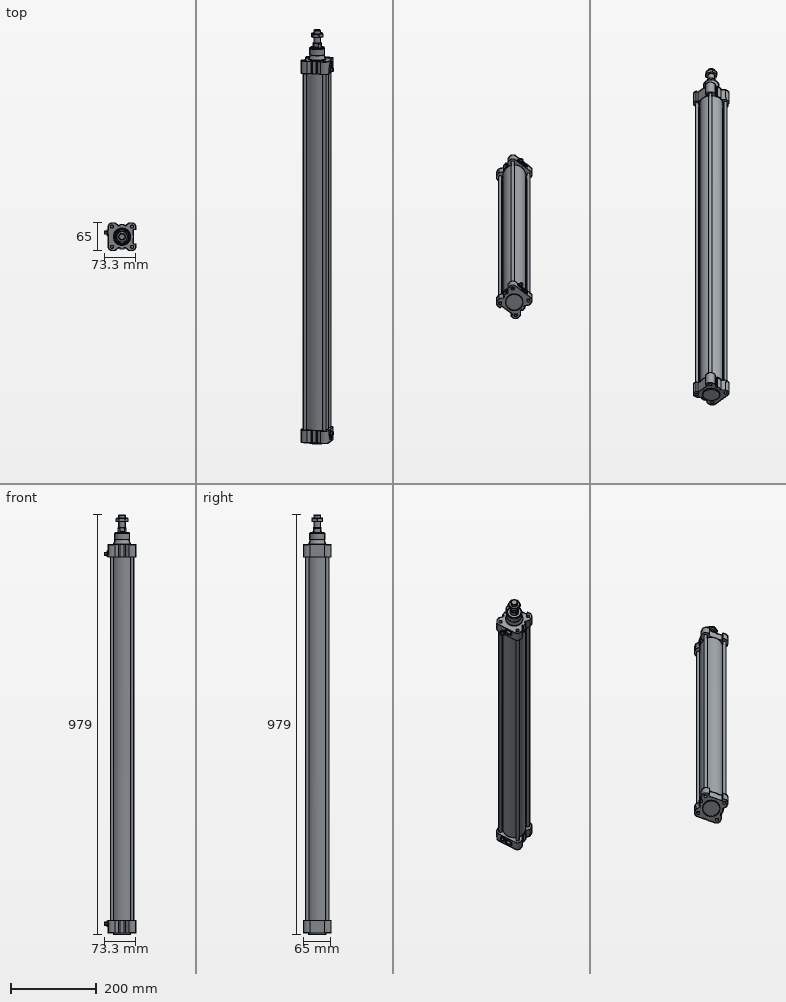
import cadquery as cq
import math

total_length = 979.0
cap_height = 29.0
rear_boss_height = 4.0
front_cap_top = 909.5
rear_cap_top = rear_boss_height + cap_height
front_cap_bottom = front_cap_top - cap_height

tie_rod_pitch = 47.0
tie_rod_to_cap_side = 9.0
cap_width = tie_rod_pitch + 2 * tie_rod_to_cap_side
cap_half = cap_width / 2
cap_draft_angle = 0.5
corner_radius = 10.0
recess_half_width = 17.0
recess_floor_half_width = 8.0
recess_depth = 7.0
rib_width = 10.0
rib_inset = 4.0
side_recess_depth = 6.0
boss_diameter = 40.0
front_boss_height = 2.0

barrel_diameter = 54.0
tie_rod_diameter = 8.0
socket_diameter = 7.1
socket_depth = 12.0

neck_diameter = 35.0
neck_base_diameter = 34.0
neck_step_height = 921.0
neck_top = 938.0
neck_chamfer = 2.0
neck_flare_radius = 15.0

port_diameter = 12.0
port_rim_diameter = 19.0
port_rim_depth = 1.0
port_depth = 15.0
port_y = -4.0
port_from_barrel = 17.0
screw_collar_diameter = 13.0
screw_collar_length = 3.0
screw_diameter = 7.1
screw_length = 8.3
screw_y = 10.0
screw_from_barrel = 8.0

rod_diameter = 20.0
thread_diameter = 16.0
thread_length = 29.0
shoulder_chamfer = 2.0
tip_chamfer = 1.0
wrench_flat_width = 17.0
wrench_flat_bottom = 940.0
rod_socket_depth = 20.0
nut_across_corners = 28.0
nut_height = 8.0
nut_bottom = 963.0
nut_chamfer = 2.0


def cylinder(diameter, bottom, top):
    """Upright cylinder on the Z axis."""
    return cq.Workplane("XY").workplane(offset=bottom).circle(diameter / 2).extrude(top - bottom)


def box_between(x_range, y_range, z_range):
    """Axis-aligned box from three (low, high) pairs."""
    sizes = [high - low for low, high in (x_range, y_range, z_range)]
    corner = (x_range[0], y_range[0], z_range[0])
    return cq.Workplane("XY").box(*sizes, centered=False).translate(corner)


def side_cylinder(diameter, y, z, outer_x, length):
    """Cylinder running in +X from the plane X = outer_x."""
    return cq.Workplane("YZ", origin=(outer_x, y, z)).circle(diameter / 2).extrude(length)


def side_recess(height):
    """Tapered recess in the -Y face of a cap, leaving a rib in its middle."""
    floor_y = -cap_half + recess_depth
    recess = (
        cq.Workplane("XY")
        .polyline([
            (-recess_half_width, -cap_half),
            (recess_half_width, -cap_half),
            (recess_floor_half_width, floor_y),
            (-recess_floor_half_width, floor_y),
        ])
        .close()
        .extrude(height)
    )
    rib = box_between(
        (-rib_width / 2, rib_width / 2), (-cap_half + rib_inset, 0), (0, height)
    )
    return recess.cut(rib)


def end_cap():
    """Cap standing on Z = 0 with its barrel side down and its sockets on top."""
    top_half = cap_half - cap_height * math.tan(math.radians(cap_draft_angle))
    cap = (
        cq.Workplane("YZ", origin=(-cap_half, 0, 0))
        .polyline([(-cap_half, 0), (cap_half, 0), (top_half, cap_height), (-top_half, cap_height)])
        .close()
        .extrude(cap_width)
        .faces("<X or >X")
        .edges("not |Y")
        .fillet(corner_radius)
    )

    recess = side_recess(cap_height)
    cap = cap.cut(recess).cut(recess.mirror("XZ"))
    cap = cap.cut(box_between(
        (cap_half - side_recess_depth, cap_half),
        (-recess_half_width, recess_half_width),
        (0, cap_height),
    ))

    sockets = (
        cq.Workplane("XY", origin=(0, 0, cap_height - socket_depth))
        .rect(tie_rod_pitch, tie_rod_pitch, forConstruction=True)
        .vertices()
        .circle(socket_diameter / 2)
        .extrude(socket_depth)
    )
    cap = cap.cut(sockets)

    port_z = port_from_barrel
    cap = cap.cut(side_cylinder(port_rim_diameter, port_y, port_z, -cap_half, port_rim_depth))
    cap = cap.cut(side_cylinder(port_diameter, port_y, port_z, -cap_half, port_depth))

    for diameter, length in (
        (screw_collar_diameter, screw_collar_length),
        (screw_diameter, screw_length),
    ):
        cap = cap.union(
            side_cylinder(diameter, screw_y, screw_from_barrel, -cap_half - length, length + port_rim_depth)
        )
    return cap


def neck():
    """Guide neck, flaring out to the boss on the front cap."""
    boss_radius = boss_diameter / 2
    base_radius = neck_base_diameter / 2
    boss_top = front_cap_top + front_boss_height
    flare_angle = math.acos(1 - (boss_radius - base_radius) / neck_flare_radius)
    flare_top = boss_top + neck_flare_radius * math.sin(flare_angle)
    flare_middle = (
        base_radius + neck_flare_radius * (1 - math.cos(flare_angle / 2)),
        flare_top - neck_flare_radius * math.sin(flare_angle / 2),
    )
    base = (
        cq.Workplane("XZ")
        .moveTo(0, front_cap_top)
        .lineTo(boss_radius, front_cap_top)
        .lineTo(boss_radius, boss_top)
        .threePointArc(flare_middle, (base_radius, flare_top))
        .lineTo(base_radius, neck_step_height)
        .lineTo(0, neck_step_height)
        .close()
        .revolve(360, (0, 0, 0), (0, 1, 0))
    )
    return base.union(cylinder(neck_diameter, neck_step_height, neck_top).faces(">Z").chamfer(neck_chamfer))


def cylinder_body():
    """Barrel, tie rods, both end caps and the guide neck as one solid."""
    barrel = cylinder(barrel_diameter, rear_cap_top, front_cap_bottom)
    tie_rods = (
        cq.Workplane("XY", origin=(0, 0, rear_cap_top))
        .rect(tie_rod_pitch, tie_rod_pitch, forConstruction=True)
        .vertices()
        .circle(tie_rod_diameter / 2)
        .extrude(front_cap_bottom - rear_cap_top)
    )
    front_cap = end_cap().translate((0, 0, front_cap_bottom))
    rear_cap = end_cap().mirror("XY").translate((0, 0, rear_cap_top))
    body = front_cap.union(barrel).union(tie_rods).union(rear_cap)

    body = body.union(cylinder(boss_diameter, 0, rear_boss_height)).union(neck())
    return body.cut(cylinder(rod_diameter, neck_top - rod_socket_depth, neck_top))


def piston_rod():
    """Rod with a threaded end, seated in the neck."""
    thread_bottom = total_length - thread_length
    shank = cylinder(rod_diameter, neck_top - rod_socket_depth, thread_bottom)
    shank = shank.faces(">Z").chamfer(shoulder_chamfer)
    flat_depth = wrench_flat_width / 2
    for y_range in ((-rod_diameter, -flat_depth), (flat_depth, rod_diameter)):
        shank = shank.cut(box_between(
            (-rod_diameter, rod_diameter), y_range, (wrench_flat_bottom, thread_bottom)
        ))
    thread = cylinder(thread_diameter, thread_bottom, total_length)
    return shank.union(thread.faces(">Z").chamfer(tip_chamfer))


def rod_nut():
    """Hexagon nut on the rod thread."""
    blank = cq.Workplane("XY", origin=(0, 0, nut_bottom)).polygon(6, nut_across_corners).extrude(nut_height)
    chamfer_cylinder = cylinder(nut_across_corners, nut_bottom, nut_bottom + nut_height)
    blank = blank.intersect(chamfer_cylinder.faces(">Z").chamfer(nut_chamfer))
    return blank.cut(cylinder(thread_diameter, nut_bottom, nut_bottom + nut_height))


body = cylinder_body()
rod = piston_rod()
nut = rod_nut()
result = cq.Compound.makeCompound([body.val(), rod.val(), nut.val()])